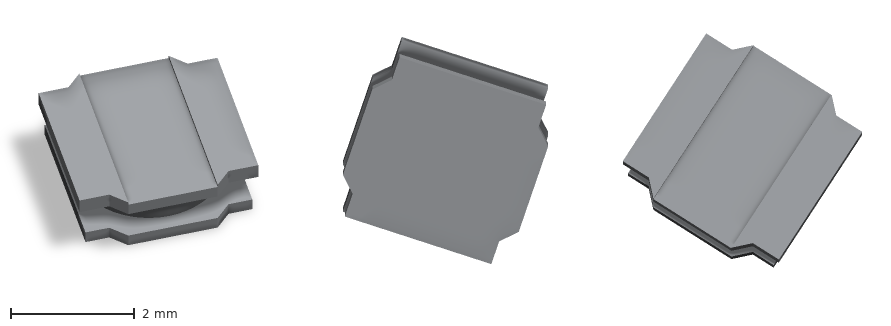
import cadquery as cq

flange_length = 3.0
lower_flange_depth = 2.8
upper_flange_depth = 3.0
end_width = 2.5
middle_depth = 1.5
corner_step = (flange_length - end_width) / 2

total_height = 1.0
lower_thickness = 0.225
core_height = 0.5
upper_thickness = total_height - lower_thickness - core_height
channel_drop = 0.05

core_diameter = end_width


def flange(depth, thickness, base_z):
    """Plate with full-length middle, narrower ends and 45 degree shoulders."""
    half_length = flange_length / 2
    half_end = end_width / 2
    half_middle = middle_depth / 2
    shoulder_y = half_middle + corner_step
    right_side = [
        (half_end, -depth / 2),
        (half_end, -shoulder_y),
        (half_length, -half_middle),
        (half_length, half_middle),
        (half_end, shoulder_y),
        (half_end, depth / 2),
    ]
    left_side = [(-x, y) for x, y in reversed(right_side)]
    outline = right_side + left_side
    return cq.Workplane("XY").workplane(offset=base_z).polyline(outline).close().extrude(thickness)


core_top = lower_thickness + core_height
lower_flange = flange(lower_flange_depth, lower_thickness, 0)
upper_flange = flange(upper_flange_depth, upper_thickness, core_top)
core = cq.Workplane("XY").workplane(offset=lower_thickness).circle(core_diameter / 2).extrude(core_height)

channel = (
    cq.Workplane("XY")
    .workplane(offset=total_height - channel_drop)
    .rect(flange_length, middle_depth)
    .extrude(channel_drop)
)

result = lower_flange.union(core).union(upper_flange).cut(channel)